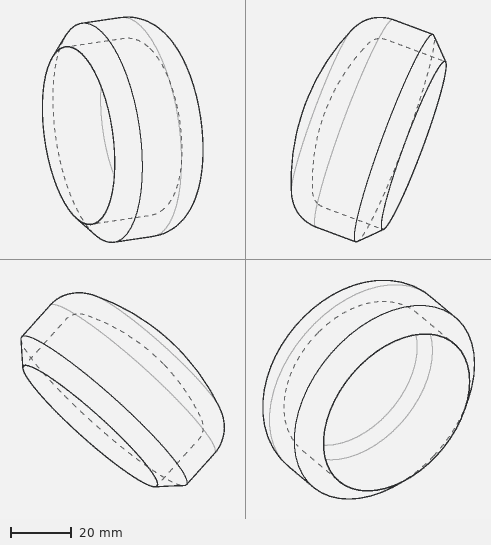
import cadquery as cq
import math

outer_radius = 36.5
height = 38.1
wall = 7.0
rim_chamfer = 6.85
shoulder_start = 20.95
shoulder_radius = 12.0

shoulder_center_x = outer_radius - shoulder_radius
apex_rise = height - shoulder_start - shoulder_radius
dome_center_drop = (shoulder_center_x**2 - apex_rise**2) / (2 * apex_rise)
dome_center_y = shoulder_start - dome_center_drop
tangent_angle = math.atan2(dome_center_drop, shoulder_center_x)


def polar(center_x, center_y, radius, angle):
    """Point on an arc in the half profile."""
    return (center_x + radius * math.cos(angle), center_y + radius * math.sin(angle))


def revolved_dome(inset, chamfer):
    """Solid domed cylinder, inset evenly from the outer skin, with a front chamfer."""
    side_radius = outer_radius - inset
    corner_radius = shoulder_radius - inset
    dome_radius = height - dome_center_y - inset
    dome_angle = (tangent_angle + math.pi / 2) / 2
    shoulder_mid = polar(shoulder_center_x, shoulder_start, corner_radius, tangent_angle / 2)
    shoulder_end = polar(shoulder_center_x, shoulder_start, corner_radius, tangent_angle)
    dome_mid = polar(0, dome_center_y, dome_radius, dome_angle)

    profile = cq.Workplane("XY").lineTo(side_radius - chamfer, 0)
    if chamfer > 0:
        profile = profile.lineTo(side_radius, chamfer)
    return (
        profile.lineTo(side_radius, shoulder_start)
        .threePointArc(shoulder_mid, shoulder_end)
        .threePointArc(dome_mid, (0, height - inset))
        .close()
        .revolve(360, (0, 0, 0), (0, 1, 0))
    )


body = revolved_dome(0, rim_chamfer)
cavity = revolved_dome(wall, 0)
result = body.cut(cavity)